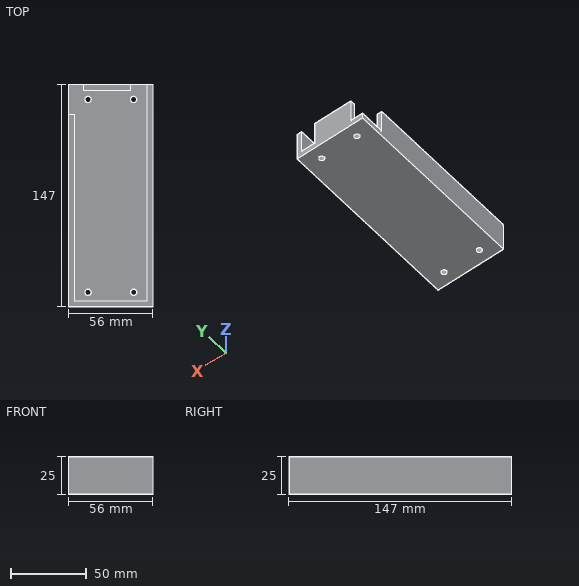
import cadquery as cq

width = 56.0
length = 147.0
height = 25.0

wall = 4.0
floor = 5.0

left_wall_gap = 20.0

tab_offset = 10.0
tab_width = 31.0

hole_diameter = 4.0
hole_side_inset = 13.0
hole_back_inset = 10.0
hole_front_inset = 9.5


def block(x, y, z, size_x, size_y, size_z):
    """Box with its lowest corner at (x, y, z)."""
    return cq.Workplane("XY").box(size_x, size_y, size_z, centered=False).translate((x, y, z))


wall_height = height - floor
base = block(0, 0, 0, width, length, floor)
front_wall = block(0, 0, floor, width, wall, wall_height)
right_wall = block(width - wall, 0, floor, wall, length, wall_height)
left_wall = block(0, 0, floor, wall, length - left_wall_gap, wall_height)
back_tab = block(tab_offset, length - wall, floor, tab_width, wall, wall_height)
tray = base.union(front_wall).union(right_wall).union(left_wall).union(back_tab)

hole_centers = [
    (x, y)
    for x in (hole_side_inset, width - hole_side_inset)
    for y in (hole_front_inset, length - hole_back_inset)
]
holes = cq.Workplane("XY").pushPoints(hole_centers).circle(hole_diameter / 2).extrude(floor)

result = tray.cut(holes)